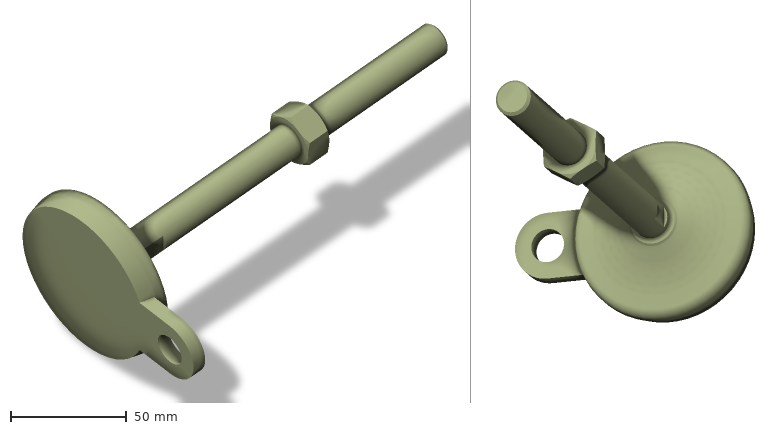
import cadquery as cq
import math

total_length = 210.0
overall_width = 109.0

foot_radius = 40.0
base_radius = 38.2
skirt_height = 7.5
rim_height = 10.7
rim_rounding = 4.0
rim_rounding_angle = 84.0
crown_radius = 11.0
crown_height = 24.0
foot_height = 24.8
crown_top_radius = 10.0

lug_radius = 15.0
lug_reach = overall_width - foot_radius
lug_thickness = 7.0
lug_hole_diameter = 15.0
lug_center = lug_reach - lug_radius

stud_diameter = 16.0
stud_start = 25.8
stud_chamfer = 1.3
neck_diameter = 10.0
flats_start = 28.5
flats_length = 12.5
flats_width = 13.0

nut_across_flats = 24.0
nut_start = 122.2
nut_thickness = 12.5
nut_chamfer_angle = 30.0
nut_corner_diameter = nut_across_flats / math.cos(math.radians(30))


def cylinder(diameter, start, length):
    """Cylinder on the stud axis, growing toward +Y."""
    return cq.Workplane("XZ", origin=(0, start, 0)).circle(diameter / 2).extrude(-length)


def make_foot():
    """Revolved bell: the rim rounding flows tangentially into the concave saddle."""
    angle = math.radians(rim_rounding_angle)
    shoulder_radius = foot_radius - rim_rounding * (1 - math.cos(angle))
    shoulder_height = rim_height + rim_rounding * math.sin(angle)
    profile = (
        cq.Workplane("XY")
        .lineTo(base_radius, 0)
        .lineTo(foot_radius, skirt_height)
        .lineTo(foot_radius, rim_height)
        .tangentArcPoint((shoulder_radius, shoulder_height), relative=False)
        .tangentArcPoint((crown_radius, crown_height), relative=False)
        .lineTo(crown_top_radius, foot_height)
        .lineTo(0, foot_height)
        .close()
    )
    return profile.revolve(360, (0, 0, 0), (0, 1, 0))


def make_lug():
    arm = cq.Workplane("XZ").center(lug_center / 2, 0).rect(lug_center, 2 * lug_radius)
    arm = arm.extrude(-lug_thickness)
    eye = cq.Workplane("XZ").center(lug_center, 0).circle(lug_radius).extrude(-lug_thickness)
    hole = cq.Workplane("XZ").center(lug_center, 0).circle(lug_hole_diameter / 2)
    return arm.union(eye).cut(hole.extrude(-lug_thickness))


def make_stud():
    stud = cylinder(stud_diameter, stud_start, total_length - stud_start)
    stud = stud.faces(">Y").chamfer(stud_chamfer)
    flats_center = flats_start + flats_length / 2
    for side in (-1, 1):
        cutter = cq.Workplane("XY").box(stud_diameter, flats_length, stud_diameter)
        offset = side * (flats_width + stud_diameter) / 2
        stud = stud.cut(cutter.translate((offset, flats_center, 0)))
    return stud.union(cylinder(neck_diameter, foot_height, stud_start - foot_height))


def make_nut():
    """Hexagon with corners on +Z and -Z, its corners turned off conically at both ends."""
    nut = (
        cq.Workplane("XZ", origin=(0, nut_start, 0))
        .transformed(rotate=(0, 0, 90))
        .polygon(6, nut_corner_diameter)
        .extrude(-nut_thickness)
    )
    corner_radius = nut_corner_diameter / 2
    face_radius = nut_across_flats / 2
    chamfer_height = (corner_radius - face_radius) * math.tan(math.radians(nut_chamfer_angle))
    turned_blank = (
        cylinder(nut_corner_diameter, nut_start, nut_thickness)
        .faces("<Y or >Y")
        .edges()
        .chamfer(chamfer_height, corner_radius - face_radius)
    )
    return nut.intersect(turned_blank)


result = make_foot().union(make_lug()).union(make_stud()).union(make_nut())